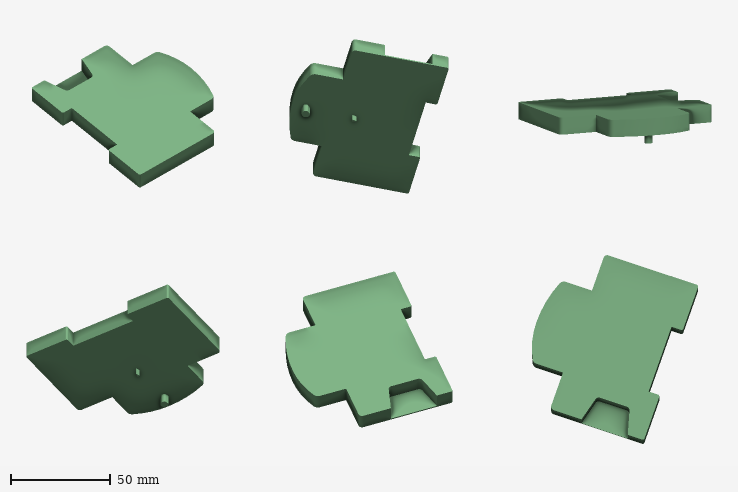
import cadquery as cq
import math

length = 85.1
overall_depth = 71.3
overall_height = 13.9
shoulder_y = 50.1
shoulder_radius = 2.0
foot_radius = 0.9

neck_left = 20.0
neck_right = length - neck_left
crown_x = 40.35
crown_left_radius = 41.7
crown_right_radius = 60.45
neck_corner_radius = 3.0

notch_width = 35.6
notch_height = 6.0

pocket_center_y = 20.95
pocket_mouth = 24.7
pocket_depth = 13.7
pocket_side_angle = 15.0
pocket_corner_radius = 2.05
pocket_floor = 0.8

large_pin_x = 42.5
large_pin_y = 63.9
large_pin_diameter = 4.2
large_pin_length = 5.1
flat_count = 3
first_flat_angle = 225.0
flat_span_angle = 60.0

small_pin_x = 42.15
small_pin_tip_y = 37.7
small_pin_depth = 2.3
small_pin_width = 1.3
small_pin_length = 3.7
small_pin_corner = 0.25
small_pin_tip_width = 0.4
small_pin_tip_depth = 0.25

thickness = overall_height - large_pin_length


def crown_height(x, radius):
    """Y of a crown arc of the given radius at position x."""
    return overall_depth - radius + math.sqrt(radius**2 - (x - crown_x) ** 2)


def round_corners(plate, points, radius):
    """Fillet the upright edges that stand at the given XY points."""
    reach = 0.1
    for x, y in points:
        corner = cq.selectors.BoxSelector(
            (x - reach, y - reach, -reach),
            (x + reach, y + reach, thickness + reach),
        )
        plate = plate.edges("|Z").edges(corner).fillet(radius)
    return plate


def make_plate():
    notch_left = (length - notch_width) / 2
    notch_right = length - notch_left
    left_middle = (neck_left + crown_x) / 2
    right_middle = (neck_right + crown_x) / 2
    neck_left_top = (neck_left, crown_height(neck_left, crown_left_radius))
    neck_right_top = (neck_right, crown_height(neck_right, crown_right_radius))

    plate = (
        cq.Workplane("XY")
        .moveTo(0, 0)
        .lineTo(notch_left, 0)
        .lineTo(notch_left, notch_height)
        .lineTo(notch_right, notch_height)
        .lineTo(notch_right, 0)
        .lineTo(length, 0)
        .lineTo(length, shoulder_y)
        .lineTo(neck_right, shoulder_y)
        .lineTo(*neck_right_top)
        .threePointArc(
            (right_middle, crown_height(right_middle, crown_right_radius)),
            (crown_x, overall_depth),
        )
        .threePointArc(
            (left_middle, crown_height(left_middle, crown_left_radius)),
            neck_left_top,
        )
        .lineTo(neck_left, shoulder_y)
        .lineTo(0, shoulder_y)
        .close()
        .extrude(thickness)
    )
    feet = [(x, 0) for x in (0, notch_left, notch_right, length)]
    shoulders = [(0, shoulder_y), (length, shoulder_y)]
    plate = round_corners(plate, feet, foot_radius)
    plate = round_corners(plate, shoulders, shoulder_radius)
    return round_corners(plate, [neck_left_top, neck_right_top], neck_corner_radius)


def make_pocket():
    taper = pocket_depth * math.tan(math.radians(pocket_side_angle))
    mouth_half = pocket_mouth / 2
    end_half = mouth_half - taper
    return (
        cq.Workplane("XY", origin=(0, pocket_center_y, pocket_floor))
        .moveTo(0, -mouth_half)
        .lineTo(pocket_depth, -end_half)
        .lineTo(pocket_depth, end_half)
        .lineTo(0, mouth_half)
        .close()
        .extrude(thickness)
        .edges("|Z and >X")
        .fillet(pocket_corner_radius)
    )


def make_large_pin():
    radius = large_pin_diameter / 2
    flat_distance = radius * math.cos(math.radians(flat_span_angle / 2))
    pin = cq.Workplane("XY").circle(radius).extrude(-large_pin_length)
    for index in range(flat_count):
        beyond_flat = (
            cq.Workplane("XY")
            .center(flat_distance + radius / 2, 0)
            .rect(radius, large_pin_diameter)
            .extrude(-large_pin_length)
            .rotate((0, 0, 0), (0, 0, 1), first_flat_angle + index * 360 / flat_count)
        )
        pin = pin.cut(beyond_flat)
    return pin.translate((large_pin_x, large_pin_y, 0))


def make_small_pin():
    half_width = small_pin_width / 2
    tip_half = small_pin_tip_width / 2
    return (
        cq.Workplane("XY", origin=(small_pin_x, small_pin_tip_y, 0))
        .moveTo(-tip_half, small_pin_tip_depth)
        .threePointArc((0, 0), (tip_half, small_pin_tip_depth))
        .lineTo(half_width, small_pin_depth - small_pin_corner)
        .lineTo(half_width - small_pin_corner, small_pin_depth)
        .lineTo(small_pin_corner - half_width, small_pin_depth)
        .lineTo(-half_width, small_pin_depth - small_pin_corner)
        .close()
        .extrude(-small_pin_length)
    )


result = make_plate().cut(make_pocket()).union(make_large_pin()).union(make_small_pin())